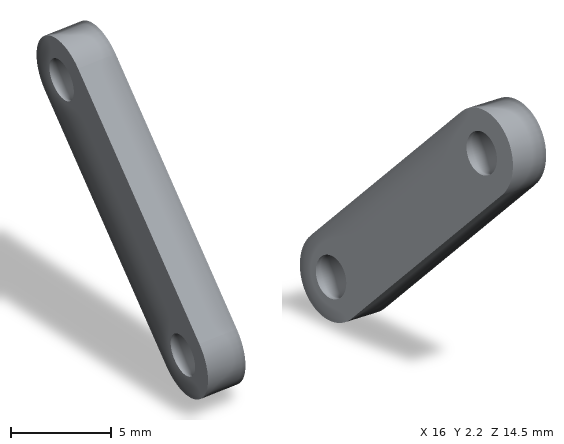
import cadquery as cq
import math

overall_x = 16.04
overall_z = 14.52
thickness = 2.2

end_diameter = 4.7
hole_diameter = 2.3

span_x = overall_x - end_diameter
span_z = overall_z - end_diameter
hole_spacing = math.hypot(span_x, span_z)
tilt = -math.degrees(math.atan2(span_z, span_x))


def make_body():
    """Flat link with full-round ends, centred on the origin in the XZ plane."""
    return (
        cq.Workplane("XZ")
        .slot2D(hole_spacing + end_diameter, end_diameter, tilt)
        .extrude(thickness / 2, both=True)
    )


def make_pin_holes():
    """Cylinders through the full thickness, concentric with the round ends."""
    centers = [(-span_x / 2, span_z / 2), (span_x / 2, -span_z / 2)]
    return (
        cq.Workplane("XZ")
        .pushPoints(centers)
        .circle(hole_diameter / 2)
        .extrude(thickness / 2, both=True)
    )


result = make_body().cut(make_pin_holes())